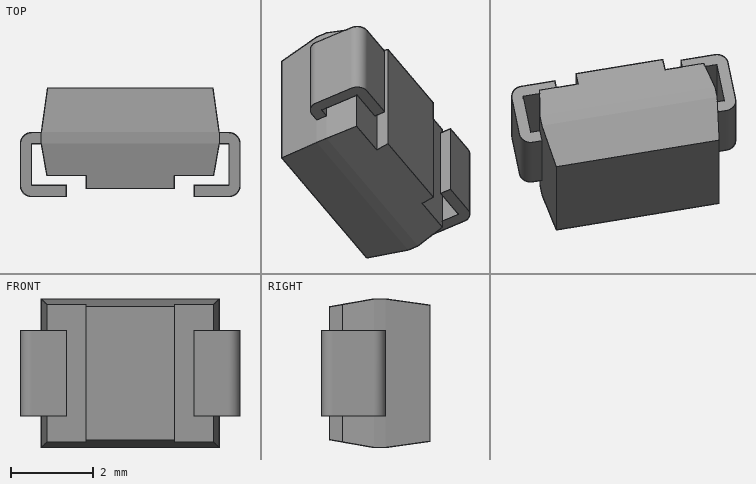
import cadquery as cq

overall_length = 5.35
overall_depth = 2.65

housing_length = 4.335
housing_width = 3.62
back_draft = 8.0
front_draft = 10.0
standoff_length = 2.15
standoff_height = 0.315
seating_gap = 0.2

lead_thickness = 0.28
lead_width = 2.08
lead_height = 1.56
foot_length = 1.12
bend_radius = lead_thickness

seating_y = -overall_depth / 2
back_y = overall_depth / 2
standoff_y = seating_y + seating_gap
band_back_y = seating_y + lead_height
band_front_y = band_back_y - lead_thickness


def housing_block(start_y, length, draft):
    """Rectangular block that grows from start_y; a negative length grows toward +Y."""
    plane = cq.Workplane("XZ", origin=(0, start_y, 0))
    return plane.rect(housing_length, housing_width).extrude(length, taper=draft)


def make_housing():
    """Drafted housing with a straight parting band and a central standoff."""
    band = housing_block(band_back_y, lead_thickness, 0)
    back = housing_block(band_back_y, band_back_y - back_y, back_draft)
    front = housing_block(band_front_y, band_front_y - standoff_y, front_draft)

    step_length = (housing_length - standoff_length) / 2
    step_x = (housing_length + standoff_length) / 4
    for side in (-1, 1):
        step = cq.Workplane("XY").box(step_length, standoff_height, housing_width)
        front = front.cut(step.translate((side * step_x, standoff_y + standoff_height / 2, 0)))

    return band.union(back).union(front)


def make_lead(side):
    """C-shaped lead from the housing wall, around two bends, to a foot below the housing."""
    wall_x = side * housing_length / 2
    outer_x = side * overall_length / 2
    inner_x = outer_x - side * lead_thickness
    foot_x = outer_x - side * foot_length
    bend_x = outer_x - side * bend_radius
    foot_top_y = seating_y + lead_thickness
    bend_offset = bend_radius * (1 - 0.5**0.5)
    bend_mid_x = outer_x - side * bend_offset
    return (
        cq.Workplane("XY", origin=(0, 0, -lead_width / 2))
        .moveTo(wall_x, band_back_y)
        .lineTo(bend_x, band_back_y)
        .threePointArc((bend_mid_x, band_back_y - bend_offset), (outer_x, band_back_y - bend_radius))
        .lineTo(outer_x, seating_y + bend_radius)
        .threePointArc((bend_mid_x, seating_y + bend_offset), (bend_x, seating_y))
        .lineTo(foot_x, seating_y)
        .lineTo(foot_x, foot_top_y)
        .lineTo(inner_x, foot_top_y)
        .lineTo(inner_x, band_front_y)
        .lineTo(wall_x, band_front_y)
        .close()
        .extrude(lead_width)
    )


housing = make_housing()
leads = [make_lead(side).val() for side in (-1, 1)]

result = cq.Compound.makeCompound([housing.val(), *leads])